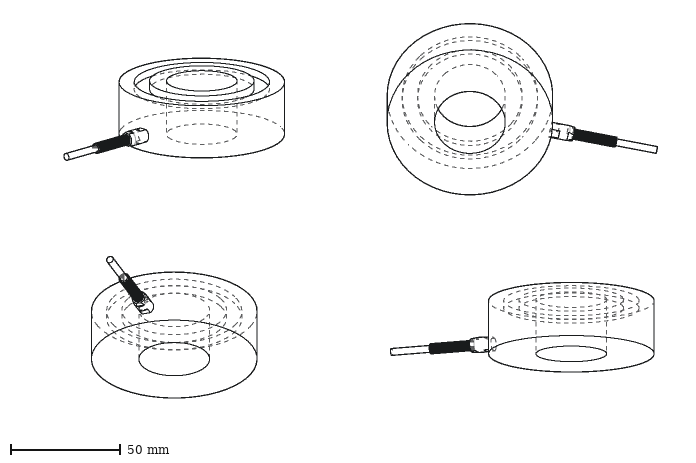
import cadquery as cq

ring_diameter = 75.7
bore_diameter = 32.3
total_height = 25.4
boss_rise = 0.5
ring_height = total_height - boss_rise

recess_diameter = 61.8
boss_diameter = 47.8
recess_depth = 3.5

overall_length = 125.2
outlet_height = 7.6
ring_radius = ring_diameter / 2
cable_end = overall_length - ring_radius
cable_diameter = 3.3

gland_diameter = 7.0
gland_tip_diameter = 6.3
base_flat_length = 3.8
taper_length = 2.3
tip_flat_length = 2.6
gland_length = 10.5
across_flats = 5.9
gland_tip = ring_radius + gland_length
taper_start = gland_tip - taper_length

coil_diameter = 4.8
coil_length = 19.9
coil_count = 46
coil_pitch = coil_length / coil_count
coil_end = gland_tip + coil_length


def make_load_ring():
    """Ring with a bore and a recess around a slightly raised boss."""
    body = cq.Workplane("XY").circle(ring_radius).extrude(ring_height)
    recess_floor = ring_height - recess_depth
    recess = (
        cq.Workplane("XY")
        .workplane(offset=recess_floor)
        .circle(recess_diameter / 2)
        .extrude(recess_depth)
    )
    boss = (
        cq.Workplane("XY")
        .workplane(offset=recess_floor)
        .circle(boss_diameter / 2)
        .extrude(total_height - recess_floor)
    )
    bore = cq.Workplane("XY").circle(bore_diameter / 2).extrude(total_height)
    return body.cut(recess).union(boss).cut(bore)


def make_flat_cutter(start, end):
    """Blocks above and below the axis that trim the gland to its flats between two stations."""
    middle = (0, -(start + end) / 2)
    envelope = cq.Workplane("XY").center(*middle).box(gland_diameter, end - start, gland_diameter)
    kept_slab = cq.Workplane("XY").center(*middle).box(gland_diameter, end - start, across_flats)
    return envelope.cut(kept_slab)


def make_cable_outlet():
    """Gland, coiled strain relief and cable, revolved about -Y and lifted to the outlet height."""
    root = (recess_diameter + ring_diameter) / 4
    gland_radius = gland_diameter / 2
    valley_radius = coil_diameter / 2 - coil_pitch / 2

    profile = (
        cq.Workplane("XY")
        .moveTo(0, -root)
        .lineTo(gland_radius, -root)
        .lineTo(gland_radius, -taper_start)
        .lineTo(gland_tip_diameter / 2, -gland_tip)
        .lineTo(valley_radius, -gland_tip)
    )
    for coil in range(coil_count):
        coil_start = gland_tip + coil * coil_pitch
        crest = (coil_diameter / 2, -(coil_start + coil_pitch / 2))
        valley = (valley_radius, -(coil_start + coil_pitch))
        profile = profile.threePointArc(crest, valley)
    profile = (
        profile.lineTo(cable_diameter / 2, -coil_end)
        .lineTo(cable_diameter / 2, -cable_end)
        .lineTo(0, -cable_end)
        .close()
    )
    outlet = profile.revolve(360, (0, 0, 0), (0, 1, 0))

    outlet = outlet.cut(make_flat_cutter(root, ring_radius + base_flat_length))
    outlet = outlet.cut(make_flat_cutter(gland_tip - tip_flat_length, gland_tip))
    return outlet.translate((0, 0, outlet_height))


result = make_load_ring().union(make_cable_outlet())